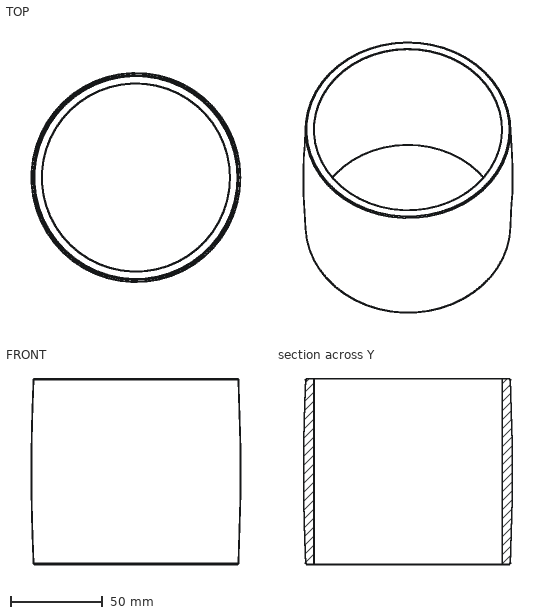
import cadquery as cq

outer_diameter = 114.3
height = 101.6
bore_diameter = 102.5

band_height = 28.8
end_diameter = 112.1
edge_chamfer = 0.7
bore_chamfer = 0.2

outer_radius = outer_diameter / 2
end_radius = end_diameter / 2
bore_radius = bore_diameter / 2
half_height = height / 2
half_band = band_height / 2
shoulder_z = half_height - edge_chamfer

wall_section = (
    cq.Workplane("XZ")
    .moveTo(bore_radius, -half_height + bore_chamfer)
    .lineTo(bore_radius + bore_chamfer, -half_height)
    .lineTo(end_radius - edge_chamfer, -half_height)
    .lineTo(end_radius, -shoulder_z)
    .lineTo(outer_radius, -half_band)
    .lineTo(outer_radius, half_band)
    .lineTo(end_radius, shoulder_z)
    .lineTo(end_radius - edge_chamfer, half_height)
    .lineTo(bore_radius + bore_chamfer, half_height)
    .lineTo(bore_radius, half_height - bore_chamfer)
    .close()
)

result = wall_section.revolve(360, (0, 0, 0), (0, 1, 0))